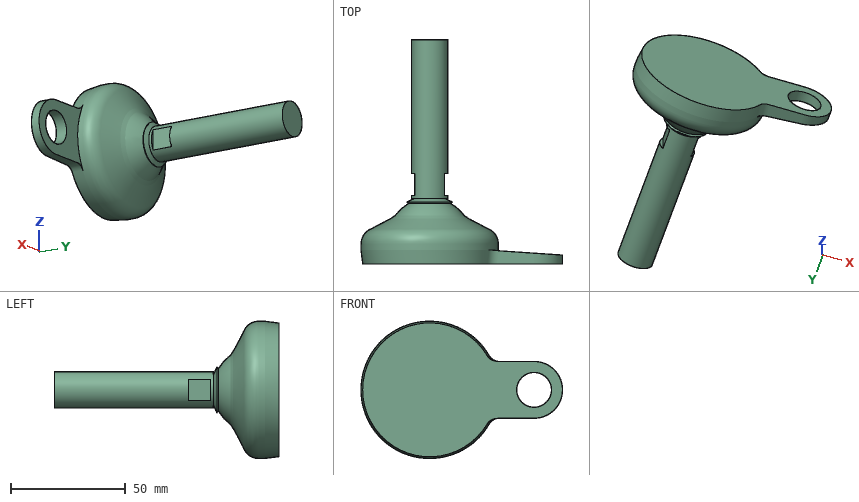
import cadquery as cq
import math

TOTAL_LENGTH = 98.0

SOLE_RADIUS = 29.2
RIM_RADIUS = 30.0
SKIRT_HEIGHT = 6.1
BAND_TOP = 8.9
SHOULDER_RADIUS = 25.7
SHOULDER_HEIGHT = 15.4
DOME_FOOT_RADIUS = 17.1
DOME_FOOT_HEIGHT = 19.9
DOME_RADIUS = 15.2
DOME_HEIGHT = 21.2
DOME_BULGE = 0.4
LIP_ROOT_RADIUS = 9.3
LIP_ROOT_HEIGHT = 26.5
LIP_RADIUS = 10.0
LIP_HEIGHT = 27.1
SEAT_RADIUS = 6.9
SEAT_HEIGHT = 28.6

LUG_END_X = 58.0
LUG_RADIUS = 12.4
LUG_HOLE_RADIUS = 7.5
LUG_END_THICKNESS = 4.0
LUG_SLOPE_START_X = 27.4
LUG_FILLET = 5.0
LUG_CENTER_X = LUG_END_X - LUG_RADIUS

STUD_DIAMETER = 16.0
STUD_RADIUS = STUD_DIAMETER / 2
FLAT_BOTTOM = 30.0
FLAT_LENGTH = 9.5
ACROSS_FLATS = 13.0


def revolve_about_y(profile):
    return profile.close().revolve(360, (0, 0, 0), (0, 1, 0))


def make_skirt_with_lug():
    """Tapered lower skirt blended into the lug, whose upper face slopes down outwards."""
    skirt = revolve_about_y(
        cq.Workplane("XY")
        .lineTo(SOLE_RADIUS, 0)
        .lineTo(RIM_RADIUS, SKIRT_HEIGHT)
        .lineTo(0, SKIRT_HEIGHT)
    )
    lug = (
        cq.Workplane("XZ")
        .moveTo(0, -LUG_RADIUS)
        .lineTo(LUG_CENTER_X, -LUG_RADIUS)
        .threePointArc((LUG_END_X, 0), (LUG_CENTER_X, LUG_RADIUS))
        .lineTo(0, LUG_RADIUS)
        .close()
        .extrude(-SKIRT_HEIGHT)
    )
    corner_margin = 2
    corner_x = math.sqrt(RIM_RADIUS**2 - LUG_RADIUS**2)
    corner_box = cq.selectors.BoxSelector(
        (corner_x - corner_margin, corner_margin, -LUG_RADIUS - corner_margin),
        (corner_x + corner_margin, SKIRT_HEIGHT - corner_margin, LUG_RADIUS + corner_margin),
    )
    body = skirt.union(lug).edges(corner_box).fillet(LUG_FILLET)

    slope_cut = (
        cq.Workplane("XY")
        .moveTo(LUG_SLOPE_START_X, SKIRT_HEIGHT)
        .lineTo(LUG_END_X, LUG_END_THICKNESS)
        .lineTo(LUG_END_X, SKIRT_HEIGHT)
        .close()
        .extrude(LUG_RADIUS + LUG_FILLET, both=True)
    )
    hole = (
        cq.Workplane("XZ")
        .center(LUG_CENTER_X, 0)
        .circle(LUG_HOLE_RADIUS)
        .extrude(-SKIRT_HEIGHT)
    )
    return body.cut(slope_cut).cut(hole).union(skirt)


def make_upper_foot():
    """Rounded shoulder, cone, convex dome and sharp sealing lip above the skirt."""
    inset = RIM_RADIUS - SHOULDER_RADIUS
    rise = SHOULDER_HEIGHT - BAND_TOP
    arc_radius = (inset**2 + rise**2) / (2 * inset)
    half_angle = math.asin(rise / arc_radius) / 2
    shoulder_mid = (
        RIM_RADIUS - arc_radius * (1 - math.cos(half_angle)),
        BAND_TOP + arc_radius * math.sin(half_angle),
    )

    return revolve_about_y(
        cq.Workplane("XY")
        .moveTo(0, SKIRT_HEIGHT)
        .lineTo(RIM_RADIUS, SKIRT_HEIGHT)
        .lineTo(RIM_RADIUS, BAND_TOP)
        .threePointArc(shoulder_mid, (SHOULDER_RADIUS, SHOULDER_HEIGHT))
        .lineTo(DOME_FOOT_RADIUS, DOME_FOOT_HEIGHT)
        .lineTo(DOME_RADIUS, DOME_HEIGHT)
        .sagittaArc((LIP_ROOT_RADIUS, LIP_ROOT_HEIGHT), -DOME_BULGE)
        .lineTo(LIP_RADIUS, LIP_HEIGHT)
        .lineTo(SEAT_RADIUS, SEAT_HEIGHT)
        .lineTo(0, SEAT_HEIGHT)
    )


def make_foot():
    return make_skirt_with_lug().union(make_upper_foot())


def make_stud():
    """Plain round stud standing on the foot, with opposite wrench flats facing X."""
    stud = (
        cq.Workplane("XZ", origin=(0, SEAT_HEIGHT, 0))
        .circle(STUD_RADIUS)
        .extrude(SEAT_HEIGHT - TOTAL_LENGTH)
    )
    flat_depth = STUD_RADIUS - ACROSS_FLATS / 2
    for side in (-1, 1):
        cutter = cq.Workplane("XY").box(flat_depth, FLAT_LENGTH, STUD_DIAMETER)
        cutter_x = side * (ACROSS_FLATS + flat_depth) / 2
        stud = stud.cut(cutter.translate((cutter_x, FLAT_BOTTOM + FLAT_LENGTH / 2, 0)))
    return stud


foot = make_foot()
stud = make_stud()
result = cq.Compound.makeCompound([foot.val(), stud.val()])